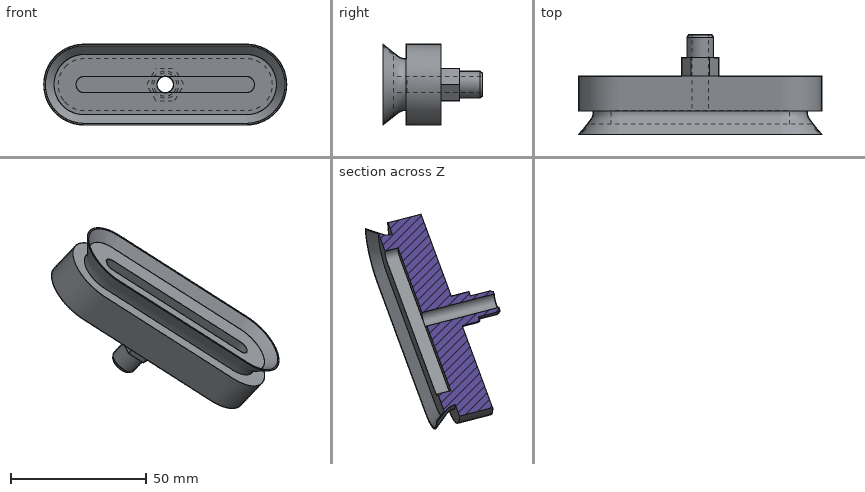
import cadquery as cq
import math

length = 90.0
height = 30.0
end_radius = height / 2
center_spacing = length - height

cup_depth = 8.6
body_depth = 13.0
hex_depth = 6.8
stud_depth = 8.55

neck_radius = 9.6
neck_straight = 0.5
neck_blend_depth = 2.4
neck_blend_rise = 0.8
rim_width = 0.6
floor_radius = 11.2
cavity_depth = 3.9

slot_width = 6.0
slot_depth = 5.0
bore_diameter = 6.0

hex_across_flats = 12.0
stud_diameter = 10.0
stud_chamfer_length = 1.1
stud_chamfer_width = 0.7

body_start = cup_depth
body_end = body_start + body_depth
hex_end = body_end + hex_depth
stud_end = hex_end + stud_depth


def plane_at(y):
    """XZ plane at the given Y whose extrusions run toward +Y."""
    return cq.Workplane(cq.Plane(origin=(0, y, 0), xDir=(1, 0, 0), normal=(0, 1, 0)))


def stadium_solid(draw_half_section):
    """Sweep a half section, drawn as (distance from the axis, Y), around a stadium."""
    half_spacing = center_spacing / 2
    disc = draw_half_section(cq.Workplane("XY")).revolve(360, (0, 0, 0), (0, 1, 0))
    side_plane = cq.Plane(origin=(0, 0, 0), xDir=(0, 0, 1), normal=(-1, 0, 0))
    half_bar = draw_half_section(cq.Workplane(side_plane)).extrude(half_spacing, both=True)
    solid = half_bar.union(half_bar.mirror("XY"))
    for x in (-half_spacing, half_spacing):
        solid = solid.union(disc.translate((x, 0, 0)))
    return solid


def draw_cup_section(workplane):
    """Straight neck, tangent blend, then a straight flare out to the lip."""
    neck_end_y = cup_depth - neck_straight
    blend_end_y = neck_end_y - neck_blend_depth
    blend_end_radius = neck_radius + neck_blend_rise
    return (
        workplane
        .moveTo(0, cup_depth)
        .lineTo(neck_radius, cup_depth)
        .lineTo(neck_radius, neck_end_y)
        .tangentArcPoint((blend_end_radius, blend_end_y), relative=False)
        .lineTo(end_radius, 0)
        .lineTo(0, 0)
        .close()
    )


def draw_cavity_section(workplane):
    return (
        workplane
        .lineTo(end_radius - rim_width, 0)
        .lineTo(floor_radius, cavity_depth)
        .lineTo(0, cavity_depth)
        .close()
    )


def make_cup():
    return stadium_solid(draw_cup_section).cut(stadium_solid(draw_cavity_section))


def make_body():
    return plane_at(body_start).slot2D(length, height).extrude(body_depth)


def make_connector():
    """Hexagon with corners toward +X and -X, and a stud chamfered at its tip."""
    across_corners = hex_across_flats / math.cos(math.pi / 6)
    hexagon = plane_at(body_end).polygon(6, across_corners).extrude(hex_depth)
    stud = (
        plane_at(hex_end)
        .circle(stud_diameter / 2)
        .extrude(stud_depth)
        .faces(">Y")
        .chamfer(stud_chamfer_length, stud_chamfer_width)
    )
    return hexagon.union(stud)


slot = plane_at(cavity_depth).slot2D(center_spacing + slot_width, slot_width).extrude(slot_depth)
bore = plane_at(0).circle(bore_diameter / 2).extrude(stud_end)

result = make_cup().union(make_body()).union(make_connector()).cut(slot).cut(bore)